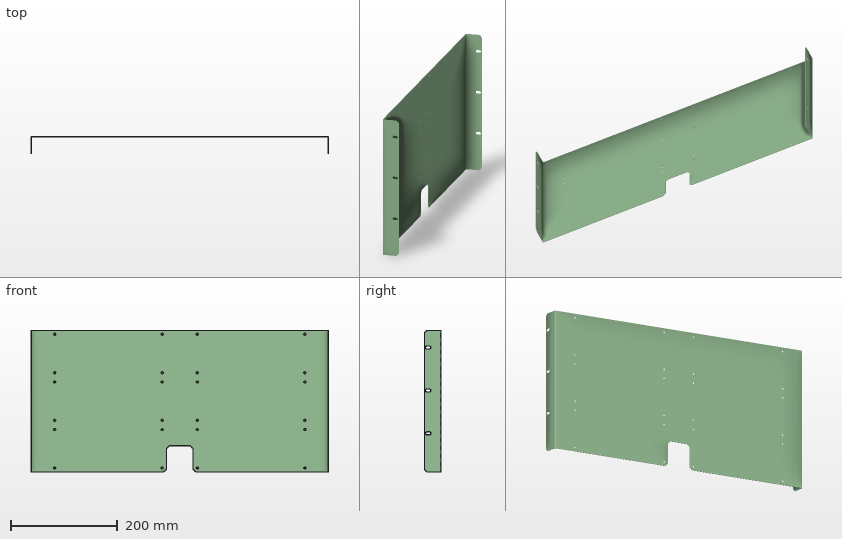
import cadquery as cq

width = 557.0
depth = 32.0
height = 265.0
sheet = 1.0
bend_inner_radius = 1.0
half_width = width / 2
half_height = height / 2
panel_back = depth / 2
panel_front = panel_back - sheet
flange_tip = -depth / 2

flange_chamfer = 5.0
slot_length = 10.0
slot_width = 5.0
slot_from_tip = 7.0
slot_pitch = 80.0
middle_slot_z = 20.0

hole_diameter = 3.5
inner_column_x = 33.0
column_spacing = 201.0
outer_column_x = inner_column_x + column_spacing
bay_pitch = 89.0
row_spacing = 72.0

notch_width = 49.0
notch_height = 49.0
notch_corner = 5.0
mouth_chamfer = 5.5


def folded_sheet():
    """Constant U-shaped section, panel plus two flanges, with rounded bends."""
    inside = half_width - sheet
    section = [
        (-half_width, flange_tip),
        (-half_width, panel_back),
        (half_width, panel_back),
        (half_width, flange_tip),
        (inside, flange_tip),
        (inside, panel_front),
        (-inside, panel_front),
        (-inside, flange_tip),
    ]
    base = cq.Workplane("XY", origin=(0, 0, -half_height))
    body = base.polyline(section).close().extrude(height)
    body = body.edges("|Z and >Y").fillet(bend_inner_radius + sheet)
    inner_bends = cq.selectors.BoxSelector(
        (-half_width, panel_front - sheet / 4, -half_height),
        (half_width, panel_front + sheet / 4, half_height),
    )
    return body.edges("|Z").edges(inner_bends).fillet(bend_inner_radius)


def flange_outline():
    """Side silhouette across the full width, bevelled at the free flange corners."""
    return (
        cq.Workplane("XY")
        .box(width, depth, height)
        .faces("<Y")
        .edges("|X")
        .chamfer(flange_chamfer)
    )


def flange_slots():
    """Column of slot cutters passing through both flanges."""
    slot_centres = [
        (flange_tip + slot_from_tip, middle_slot_z + step * slot_pitch)
        for step in (-1, 0, 1)
    ]
    return (
        cq.Workplane("YZ", origin=(-half_width, 0, 0))
        .pushPoints(slot_centres)
        .slot2D(slot_length, slot_width)
        .extrude(width)
    )


def mounting_holes():
    columns = (-outer_column_x, -inner_column_x, inner_column_x, outer_column_x)
    rows = [
        bay * bay_pitch + side * row_spacing / 2
        for bay in (-1, 0, 1)
        for side in (-1, 1)
    ]
    return (
        cq.Workplane("XZ", origin=(0, panel_back, 0))
        .pushPoints([(x, z) for x in columns for z in rows])
        .circle(hole_diameter / 2)
        .extrude(sheet)
    )


def notch():
    """Cutter for the lower notch, with bevelled top corners and a flared mouth."""
    side = notch_width / 2
    bottom = -half_height
    top = bottom + notch_height
    right_half = [
        (side + mouth_chamfer, bottom),
        (side, bottom + mouth_chamfer),
        (side, top - notch_corner),
        (side - notch_corner, top),
    ]
    left_half = [(-x, z) for x, z in reversed(right_half)]
    return (
        cq.Workplane("XZ", origin=(0, panel_back, 0))
        .polyline(right_half + left_half)
        .close()
        .extrude(sheet)
    )


result = (
    folded_sheet()
    .intersect(flange_outline())
    .cut(flange_slots())
    .cut(mounting_holes())
    .cut(notch())
)